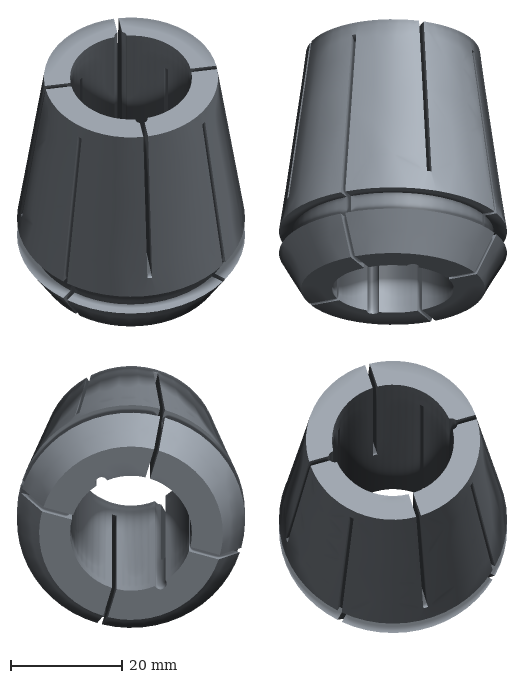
import cadquery as cq

height = 46.0
max_diameter = 41.0
max_radius = max_diameter / 2
top_radius = 15.65
bottom_radius = 16.5
bore_radius = 10.95

flange_top = 7.0
taper_base = 11.15
groove_radius = 18.12

slot_width = 0.87
slots_per_end = 4
slot_pitch = 360 / slots_per_end
upper_slot_floor_outer = 15.0
upper_slot_floor_inner = 16.15
lower_slot_roof_outer = 43.5
lower_slot_roof_inner = 39.7

relief_radius = 1.1
relief_angle = 135

clearance = 2.3


def taper_radius(z):
    """Outside radius of the long taper at height z."""
    fraction = (height - z) / (height - taper_base)
    return top_radius + fraction * (max_radius - top_radius)


def slot_cutter(outer_z, inner_z, open_z, angle):
    """Radial slot with a sloped closed end, running out at open_z."""
    outer_radius = taper_radius(outer_z)
    slope = (outer_z - inner_z) / (outer_radius - bore_radius)
    start = bore_radius - clearance
    end = max_radius + clearance
    start_z = inner_z + slope * (start - bore_radius)
    end_z = inner_z + slope * (end - bore_radius)
    return (
        cq.Workplane("XZ")
        .polyline([(start, open_z), (end, open_z), (end, end_z), (start, start_z)])
        .close()
        .extrude(slot_width / 2, both=True)
        .rotate((0, 0, 0), (0, 0, 1), angle)
    )


body = (
    cq.Workplane("XZ")
    .polyline([
        (bore_radius, 0),
        (bottom_radius, 0),
        (max_radius, flange_top),
        (groove_radius, flange_top),
        (groove_radius, taper_base),
        (max_radius, taper_base),
        (top_radius, height),
        (bore_radius, height),
    ])
    .close()
    .revolve(360, (0, 0, 0), (0, 1, 0))
)

for index in range(slots_per_end):
    axis_angle = slot_pitch * index
    body = body.cut(slot_cutter(
        lower_slot_roof_outer, lower_slot_roof_inner, -clearance, axis_angle))
    body = body.cut(slot_cutter(
        upper_slot_floor_outer, upper_slot_floor_inner, height + clearance, axis_angle + slot_pitch / 2))

relief_grooves = (
    cq.Workplane("XY")
    .polarArray(bore_radius, relief_angle, 360, 2)
    .circle(relief_radius)
    .extrude(height)
)

result = body.cut(relief_grooves)